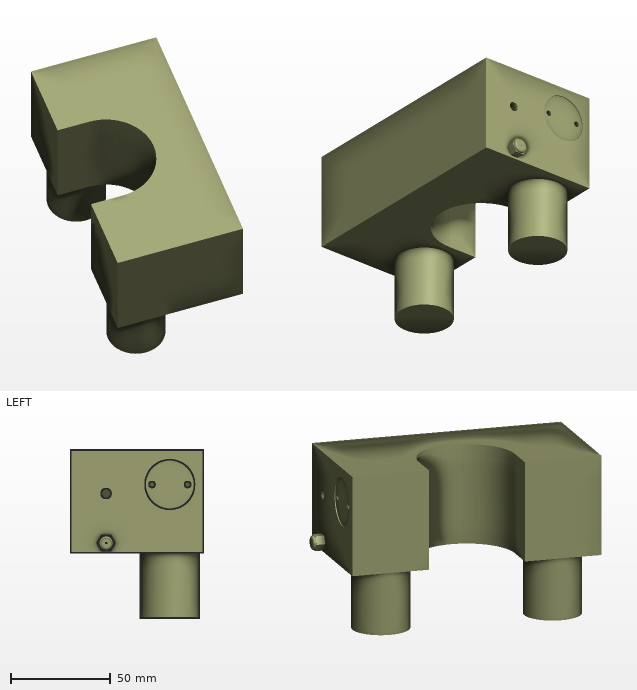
import cadquery as cq

overall_length = 138.0
block_length = 131.9
block_depth = 67.0
block_height = 52.0

slot_width = 50.8
slot_centre_from_front = 17.0

post_diameter = 30.0
post_spacing = 91.0
post_length = 33.0

cover_diameter = 25.0
cover_recess = 0.5
cover_centre_below_top = 17.5
spanner_hole_diameter = 3.0
spanner_hole_spacing = 18.0
spanner_hole_depth = 3.0

port_from_back = 18.0
side_hole_diameter = 5.0
side_hole_below_top = 22.1
side_hole_depth = 10.0
hex_across_corners = 9.0
nipple_above_bottom = 5.0
hex_length = 4.7
nose_diameter = 7.5
nose_edge_radius = 1.1
tip_hole_diameter = 0.4
tip_hole_depth = 0.7

left_x = -block_length / 2
front_y = -block_depth / 2
slot_y = front_y + slot_centre_from_front
port_y = block_depth / 2 - port_from_back
cover_z = block_height - cover_centre_below_top
side_hole_z = block_height - side_hole_below_top
nose_length = overall_length - block_length - hex_length


def left_plane(y, z, x=left_x):
    """Plane facing -X; its local x runs along -Y and its local y along +Z."""
    return cq.Workplane(cq.Plane(origin=(x, y, z), xDir=(0, -1, 0), normal=(-1, 0, 0)))


def make_block():
    block = cq.Workplane("XY").box(block_length, block_depth, block_height, centered=(True, True, False))
    slot_end = cq.Workplane("XY").center(0, slot_y).circle(slot_width / 2).extrude(block_height)
    slot_mouth = (
        cq.Workplane("XY")
        .center(0, front_y + slot_centre_from_front / 2)
        .rect(slot_width, slot_centre_from_front)
        .extrude(block_height)
    )
    return block.cut(slot_end).cut(slot_mouth)


def make_posts():
    return (
        cq.Workplane("XY")
        .pushPoints([(-post_spacing / 2, slot_y), (post_spacing / 2, slot_y)])
        .circle(post_diameter / 2)
        .extrude(-post_length)
    )


def make_cover_cuts():
    recess = left_plane(slot_y, cover_z).circle(cover_diameter / 2).extrude(-cover_recess)
    spanner_holes = (
        left_plane(slot_y, cover_z)
        .pushPoints([(-spanner_hole_spacing / 2, 0), (spanner_hole_spacing / 2, 0)])
        .circle(spanner_hole_diameter / 2)
        .extrude(-spanner_hole_depth)
    )
    return recess.union(spanner_holes)


def make_side_hole():
    return left_plane(port_y, side_hole_z).circle(side_hole_diameter / 2).extrude(-side_hole_depth)


def make_nipple():
    nose_start_x = left_x - hex_length
    hexagon = left_plane(port_y, nipple_above_bottom).polygon(6, hex_across_corners).extrude(hex_length)
    nose = (
        left_plane(port_y, nipple_above_bottom, nose_start_x)
        .circle(nose_diameter / 2)
        .extrude(nose_length)
        .faces("<X")
        .edges()
        .fillet(nose_edge_radius)
    )
    tip_hole = (
        left_plane(port_y, nipple_above_bottom, nose_start_x - nose_length)
        .circle(tip_hole_diameter / 2)
        .extrude(-tip_hole_depth)
    )
    return hexagon.union(nose).cut(tip_hole)


result = make_block().union(make_posts()).cut(make_cover_cuts()).cut(make_side_hole()).union(make_nipple())